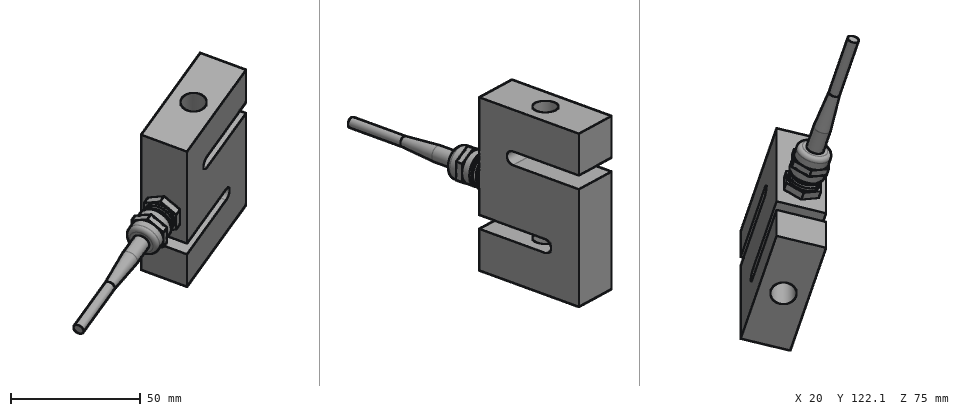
import cadquery as cq
import math

BLOCK_WIDTH = 20.0
BLOCK_DEPTH = 50.0
BLOCK_HEIGHT = 75.0
FRONT_Y = 0.0
BACK_Y = FRONT_Y + BLOCK_DEPTH

SLOT_WIDTH = 6.0
SLOT_LENGTH = 36.0
LEG_HEIGHT = 18.1
SLOT_Z = BLOCK_HEIGHT / 2 - LEG_HEIGHT - SLOT_WIDTH / 2

LOAD_HOLE_DIAMETER = 10.1

HEX_FLATS = 14.0
HEX_CORNERS = HEX_FLATS / math.cos(math.pi / 6)
BASE_HEX_END = 3.3
CAP_START = 7.5
CAP_RADIUS = HEX_FLATS / 2
CAP_HEX_START = 11.0
CAP_HEX_END = 14.0
CAP_END = 19.2
CAP_ROUND = 2.0

NECK_RADIUS = 6.4
GROOVE_DEPTH = 0.9
GROOVE_HALF_WIDTH = 0.7
GROOVE_CENTRE = 5.4
RIDGE_END = 6.8

CABLE_RADIUS = 4.5 / 2
BOOT_RADIUS = 7.0 / 2
TAPER_START = 29.1
TAPER_END = 45.9
CABLE_END = 122.1 - BLOCK_DEPTH


def make_slot(open_y, inward, z):
    """Slot across the block, open at open_y, running along inward (+1 or -1 in Y)."""
    radius = SLOT_WIDTH / 2
    tip_y = open_y + inward * SLOT_LENGTH
    arc_y = tip_y - inward * radius
    return (
        cq.Workplane("YZ", origin=(-BLOCK_WIDTH / 2, 0, 0))
        .moveTo(open_y, z - radius)
        .lineTo(arc_y, z - radius)
        .threePointArc((tip_y, z), (arc_y, z + radius))
        .lineTo(open_y, z + radius)
        .close()
        .extrude(BLOCK_WIDTH)
    )


def make_load_hole(bottom_z):
    """Vertical hole through one leg, ending at the adjacent slot."""
    return (
        cq.Workplane("XY", origin=(0, FRONT_Y + BLOCK_DEPTH / 2, bottom_z))
        .circle(LOAD_HOLE_DIAMETER / 2)
        .extrude(LEG_HEIGHT)
    )


def make_block():
    block = cq.Workplane("XY", origin=(0, FRONT_Y + BLOCK_DEPTH / 2, 0)).box(
        BLOCK_WIDTH, BLOCK_DEPTH, BLOCK_HEIGHT
    )
    block = block.cut(make_slot(BACK_Y, -1, SLOT_Z))
    block = block.cut(make_slot(FRONT_Y, 1, -SLOT_Z))
    for bottom_z in (BLOCK_HEIGHT / 2 - LEG_HEIGHT, -BLOCK_HEIGHT / 2):
        block = block.cut(make_load_hole(bottom_z))
    return block


def axis_plane(distance):
    """Workplane across the gland axis, facing outward along -Y."""
    return cq.Workplane("XZ", origin=(0, FRONT_Y - distance, 0))


def make_cylinder(radius, start, end):
    return axis_plane(start).circle(radius).extrude(end - start)


def make_hexagon(start, end):
    """Hexagonal prism with two corners pointing up and down."""
    return axis_plane(start).transformed(rotate=(0, 0, 90)).polygon(6, HEX_CORNERS).extrude(end - start)


def revolve_profile(points):
    """Turn a profile of (radius, distance) points around the gland axis."""
    profile = [(FRONT_Y - distance, radius) for radius, distance in points]
    return cq.Workplane("YZ").polyline(profile).close().revolve(360, (0, 0, 0), (1, 0, 0))


def make_neck():
    root_radius = NECK_RADIUS - GROOVE_DEPTH
    return revolve_profile([
        (0, BASE_HEX_END),
        (NECK_RADIUS, BASE_HEX_END),
        (NECK_RADIUS, GROOVE_CENTRE - GROOVE_HALF_WIDTH),
        (root_radius, GROOVE_CENTRE),
        (NECK_RADIUS, GROOVE_CENTRE + GROOVE_HALF_WIDTH),
        (NECK_RADIUS, RIDGE_END),
        (root_radius, CAP_START),
        (0, CAP_START),
    ])


def make_cap():
    """Round clamping cap with a rounded outer rim and a hexagonal band."""
    cap = make_cylinder(CAP_RADIUS, CAP_START, CAP_END).faces("<Y").edges().fillet(CAP_ROUND)
    return cap.union(make_hexagon(CAP_HEX_START, CAP_HEX_END))


def make_boot():
    """Strain relief: a straight sleeve that tapers down to the cable."""
    return revolve_profile([
        (0, CAP_END),
        (BOOT_RADIUS, CAP_END),
        (BOOT_RADIUS, TAPER_START),
        (CABLE_RADIUS, TAPER_END),
        (0, TAPER_END),
    ])


def make_gland():
    base = make_hexagon(0, BASE_HEX_END)
    return base.union(make_neck()).union(make_cap()).union(make_boot())


def make_cable():
    return make_cylinder(CABLE_RADIUS, TAPER_END, CABLE_END)


block = make_block()
gland = make_gland()
cable = make_cable()

result = cq.Compound.makeCompound([block.val(), gland.val(), cable.val()])